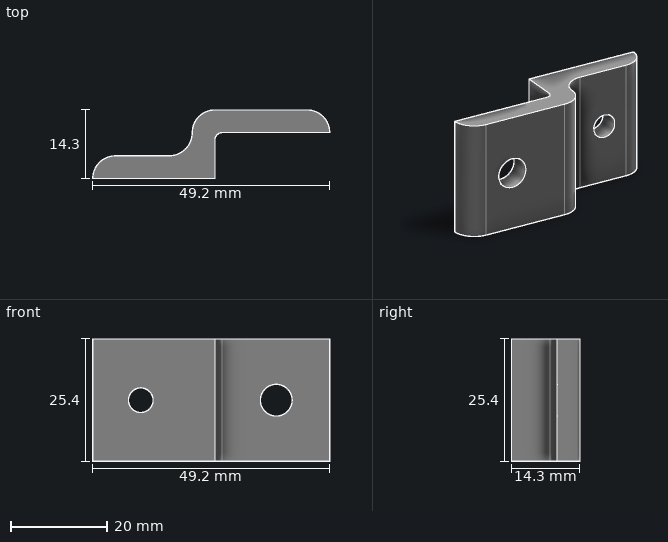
import cadquery as cq

length = 49.25
height = 25.4
depth = 14.3

thickness = depth / 3
outer_radius = thickness
step_x = height
inner_y = depth - thickness
inner_radius = 1.5
web_x = step_x - thickness

small_hole_x = 10.0
small_hole_diameter = 5.05
large_hole_x = 38.1
large_hole_diameter = 6.55


def bracket_body():
    """Extrude the stepped profile, with its rounded corners included."""
    profile = (
        cq.Workplane("XY")
        .lineTo(step_x, 0)
        .lineTo(step_x, inner_y - inner_radius)
        .radiusArc((step_x + inner_radius, inner_y), inner_radius)
        .lineTo(length, inner_y)
        .radiusArc((length - outer_radius, depth), -outer_radius)
        .lineTo(step_x, depth)
        .radiusArc((web_x, inner_y), -outer_radius)
        .radiusArc((web_x - outer_radius, thickness), outer_radius)
        .lineTo(outer_radius, thickness)
        .radiusArc((0, 0), -outer_radius)
        .close()
    )
    return profile.extrude(height)


def through_hole(x, diameter):
    """Cylinder crossing the full depth of the bracket at mid-height."""
    return (
        cq.Workplane("XZ", origin=(x, 0, height / 2))
        .circle(diameter / 2)
        .extrude(-depth)
    )


result = (
    bracket_body()
    .cut(through_hole(small_hole_x, small_hole_diameter))
    .cut(through_hole(large_hole_x, large_hole_diameter))
)